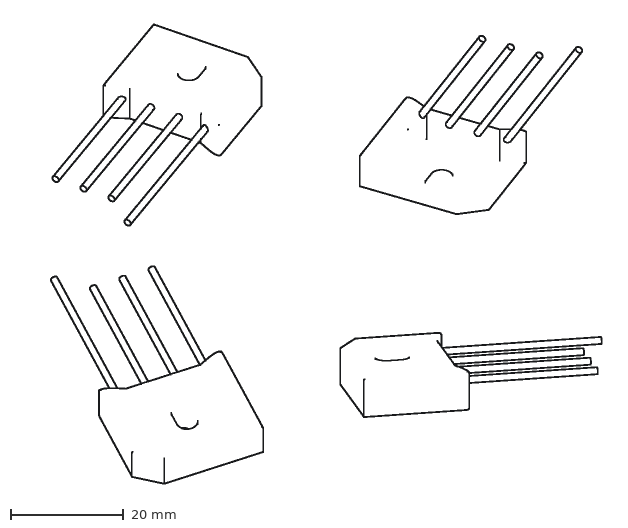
import cadquery as cq
import math

total_length = 47.7
body_width = 23.7
body_length = 19.25
body_height = 7.1
half_width = body_width / 2
edge_radius = 0.3

clip_width = 4.67
clip_length = 3.65

foot_depth = 1.55
foot_width = 4.67
foot_corner_width = 0.45
foot_flat_end = 0.85
foot_slope_angle = 27.0

slot_width = 3.9
slot_length = 6.05
slot_center_from_back = 7.8

lead_diameter = 1.3
lead_pitch = 5.65
lead_count = 4
lead_height = 4.65
lead_embed = 2.4
short_lead_setback = 4.5

back_y = body_length
longest_lead_end_y = body_length - total_length


def foot_point(side, inset, y):
    """Point at a distance in from the side face; side is +1 on the right and -1 on the left."""
    return side * (half_width - inset), y


def foot_curves(side):
    """Bezier control points of the foot's outer corner and inner slope, each ending at the flat tip.

    The corner leaves the side face and meets the tip tangentially. The slope leaves the
    recessed lead face at foot_slope_angle and also meets the tip tangentially.
    """
    slope_run = foot_depth / math.tan(math.radians(foot_slope_angle))
    sharp_corner = foot_point(side, 0, 0)
    corner = [
        foot_point(side, 0, foot_depth),
        sharp_corner,
        sharp_corner,
        foot_point(side, foot_corner_width, 0),
    ]
    slope = [
        foot_point(side, foot_width, foot_depth),
        foot_point(side, foot_width - slope_run, 0),
        foot_point(side, foot_flat_end, 0),
    ]
    return corner, slope


def make_body():
    right_corner, right_slope = foot_curves(1)
    left_corner, left_slope = foot_curves(-1)
    outline = (
        cq.Workplane("XY")
        .moveTo(-half_width, back_y)
        .lineTo(half_width - clip_width, back_y)
        .lineTo(half_width, back_y - clip_length)
        .lineTo(*right_corner[0])
        .bezier(right_corner)
        .lineTo(*right_slope[-1])
        .bezier(right_slope[::-1])
        .lineTo(*left_slope[0])
        .bezier(left_slope)
        .lineTo(*left_corner[-1])
        .bezier(left_corner[::-1])
        .close()
    )
    slot = (
        cq.Workplane("XY")
        .center(0, back_y - slot_center_from_back)
        .slot2D(slot_length, slot_width, 90)
        .extrude(body_height)
    )
    body = outline.extrude(body_height).cut(slot)
    return body.faces("<Z or >Z").edges().fillet(edge_radius)


def make_lead(x, end_y):
    start_y = foot_depth + lead_embed
    return (
        cq.Workplane("XZ", origin=(x, start_y, lead_height))
        .circle(lead_diameter / 2)
        .extrude(start_y - end_y)
    )


result = make_body()
for index in range(lead_count):
    lead_x = (index - (lead_count - 1) / 2) * lead_pitch
    is_positive = index == lead_count - 1
    lead_end_y = longest_lead_end_y if is_positive else longest_lead_end_y + short_lead_setback
    result = result.union(make_lead(lead_x, lead_end_y))